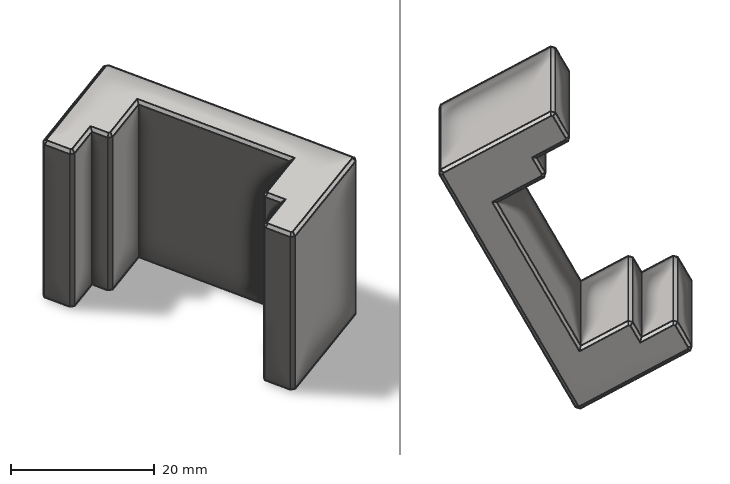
import cadquery as cq

width = 40.0
depth = 18.5
height = 30.0
back_thickness = 5.0
channel_width = 24.0
mouth_width = 30.0
mouth_depth = 5.5
chamfer = 0.5

front = -depth / 2
back = depth / 2
step = front + mouth_depth
channel_floor = back - back_thickness

bracket = cq.Workplane("XY").box(width, depth, height)


def channel_cut(cut_width, end_y):
    """Full-height slot from the open front to end_y."""
    length = end_y - front
    return cq.Workplane("XY").center(0, front + length / 2).box(cut_width, length, height)


bracket = bracket.cut(channel_cut(channel_width, channel_floor))
bracket = bracket.cut(channel_cut(mouth_width, step))

outward_corners = []
for side in (-1, 1):
    outward_corners += [
        (side * width / 2, back),
        (side * width / 2, front),
        (side * mouth_width / 2, front),
        (side * channel_width / 2, step),
    ]
for x, y in outward_corners:
    corner_edge = cq.selectors.NearestToPointSelector((x, y, 0))
    bracket = bracket.edges("|Z").edges(corner_edge).chamfer(chamfer)

result = bracket.faces("<Z or >Z").edges().chamfer(chamfer)